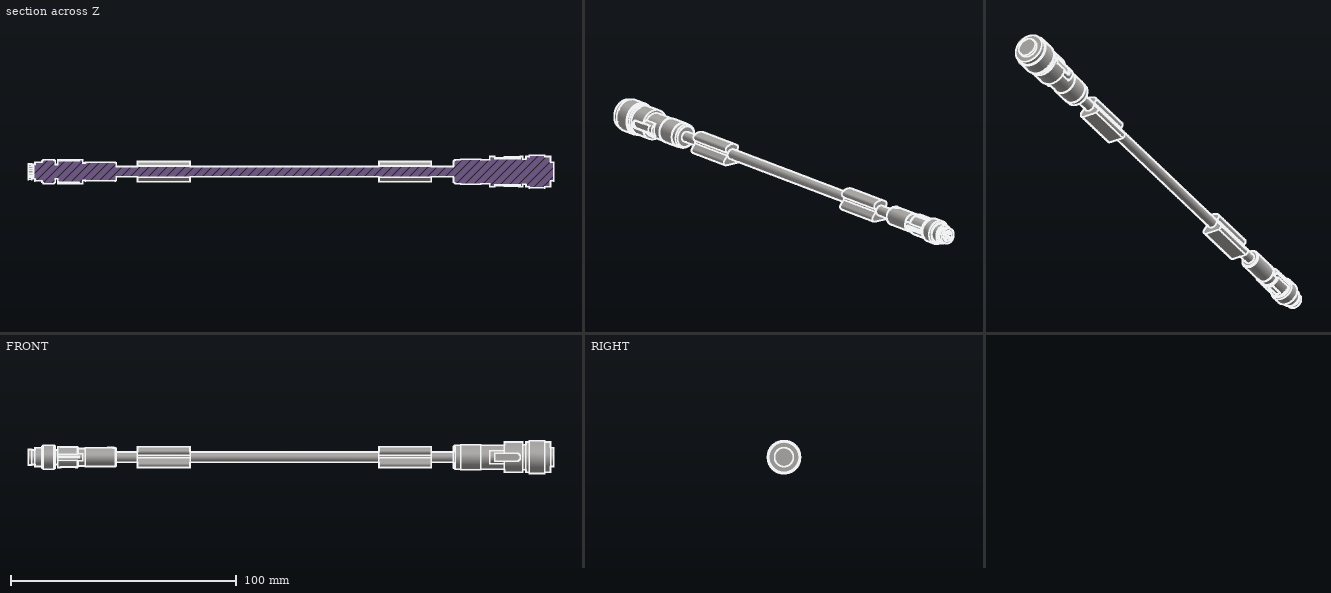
import cadquery as cq


OVERLAP = 1.2

cable_radius = 2.3

plug_steps = [
    (0.0, 1.6, 3.5),
    (1.6, 3.0, 3.3),
    (3.0, 6.0, 4.2),
    (12.0, 13.0, 3.3),
    (22.0, 25.4, 4.0),
]
nose_bore_radius = 2.3
nose_bore_depth = 2.3
pin_radius = 0.5
pin_offset = 1.2

ring_start, ring_end = 6.0, 12.0
ring_radius = 5.4
ring_chamfer = 0.7

latch_start, latch_end = 13.0, 22.0
latch_radius = 4.7
latch_chamfer = 0.5
side_rail_end = 24.2
side_rail_reach = 5.4
side_rail_radius = 1.51
rail_slot_width = 0.7
rail_slot_depth = 0.5
rail_slot_end = 22.5
top_pocket_start, top_pocket_end = 14.5, 21.2
top_pocket_width = 2.0
top_pocket_floor = 4.2

plug_grip_start, plug_grip_end = 25.4, 39.0
plug_grip_radius = 4.2
plug_grip_chamfer = 0.5
arrow_tip_x, arrow_base_x = 35.1, 38.0
arrow_width = 2.3
arrow_top = 4.5

clip_length = 23.3
clip_starts = (48.5, 155.2)
clip_height = 4.7
cap_half_width = 4.0
cap_lower_z = 2.5
waist_half_width = 2.5
waist_upper_z = 1.0
waist_lower_z = -0.2
foot_half_width = 5.1
foot_upper_z = -3.3
foot_bottom_half_width = 3.5
clip_edge_radius = 1.5

nut_diameter = 14.7
socket_steps = [
    (191.5, 200.4, 5.5),
    (200.4, 210.8, 5.4),
    (210.8, 219.0, 6.7),
    (219.0, 220.4, 5.5),
    (220.4, 221.8, 6.7),
    (221.8, 228.7, nut_diameter / 2),
    (228.7, 231.3, 6.7),
    (231.3, 232.7, 4.2),
]
socket_start = 188.3
socket_end_ring = 191.5
socket_end_radius = 5.4
socket_end_chamfer = 0.7
wing_start, wing_end = 204.3, 219.0
wing_radius = 3.0
wing_reach = 6.7
window_start, window_end = 206.6, 217.8
window_width = 3.5
window_floor = 5.8
window_chamfer = 1.0


def rod(start, end, radius, y=0.0, z=0.0):
    """Cylinder parallel to X between two x positions."""
    return cq.Workplane("YZ", origin=(start, y, z)).circle(radius).extrude(end - start)


def block(x_range, y_range, z_range):
    """Axis-aligned box given by its lower and upper bound on each axis."""
    lows, highs = zip(x_range, y_range, z_range)
    size = [high - low for low, high in zip(lows, highs)]
    return cq.Workplane("XY").box(*size, centered=False).translate(lows)


def stack(steps):
    """Turned body made of coaxial cylinders."""
    body = rod(*steps[0])
    for step in steps[1:]:
        body = body.union(rod(*step))
    return body


def both_sides(shape):
    """Shape together with its mirror image across the XZ plane."""
    return shape.union(shape.mirror("XZ"))


def latch_section():
    """Round section with a slotted round rail on each side and flat pockets top and bottom."""
    body = rod(latch_start, latch_end, latch_radius).faces(">X").chamfer(latch_chamfer)

    rail = rod(latch_start, side_rail_end, side_rail_radius, y=side_rail_reach - side_rail_radius)
    body = body.union(both_sides(rail))

    half_slot = rail_slot_width / 2
    slot = block(
        (latch_start, rail_slot_end),
        (side_rail_reach - rail_slot_depth, side_rail_reach + OVERLAP),
        (-half_slot, half_slot),
    )
    body = body.cut(both_sides(slot))

    half_pocket = top_pocket_width / 2
    pocket = block(
        (top_pocket_start, top_pocket_end),
        (-half_pocket, half_pocket),
        (top_pocket_floor, latch_radius + OVERLAP),
    )
    return body.cut(pocket).cut(pocket.mirror("XY"))


def plug():
    body = stack(plug_steps).union(latch_section())
    ring = rod(ring_start, ring_end, ring_radius).faces("<X or >X").chamfer(ring_chamfer)
    grip = rod(plug_grip_start, plug_grip_end, plug_grip_radius)
    grip = grip.faces(">X").chamfer(plug_grip_chamfer)
    arrow = (
        cq.Workplane("XY")
        .polyline([(arrow_tip_x, 0), (arrow_base_x, -arrow_width / 2), (arrow_base_x, arrow_width / 2)])
        .close()
        .extrude(arrow_top)
    )
    body = body.union(ring).union(grip).union(arrow)

    body = body.cut(rod(0, nose_bore_depth, nose_bore_radius))
    for y in (-pin_offset, pin_offset):
        for z in (-pin_offset, pin_offset):
            body = body.union(rod(0, nose_bore_depth + OVERLAP, pin_radius, y, z))
    return body


def marker_clip(start):
    clip = (
        cq.Workplane("YZ", origin=(start, 0, 0))
        .moveTo(-cap_half_width, cap_lower_z)
        .threePointArc((0, clip_height), (cap_half_width, cap_lower_z))
        .lineTo(waist_half_width, waist_upper_z)
        .lineTo(waist_half_width, waist_lower_z)
        .lineTo(foot_half_width, foot_upper_z)
        .lineTo(foot_bottom_half_width, -clip_height)
        .lineTo(-foot_bottom_half_width, -clip_height)
        .lineTo(-foot_half_width, foot_upper_z)
        .lineTo(-waist_half_width, waist_lower_z)
        .lineTo(-waist_half_width, waist_upper_z)
        .close()
        .extrude(clip_length)
    )
    middle = start + clip_length / 2
    rounded_corners = [
        (cap_half_width, cap_lower_z),
        (foot_half_width, foot_upper_z),
    ]
    for y, z in rounded_corners:
        for side in (-1, 1):
            corner = cq.selectors.NearestToPointSelector((middle, side * y, z))
            clip = clip.edges("|X").edges(corner).fillet(clip_edge_radius)
    return clip


def socket():
    end_ring = rod(socket_start, socket_end_ring, socket_end_radius)
    end_ring = end_ring.faces("<X").chamfer(socket_end_chamfer)
    body = stack(socket_steps).union(end_ring)

    wing = rod(wing_start, wing_end, wing_radius, y=wing_reach - wing_radius)
    body = body.union(both_sides(wing))

    half_window = window_width / 2
    window = block(
        (window_start, window_end),
        (window_floor, wing_reach + OVERLAP),
        (-half_window, half_window),
    )
    window = window.edges("|Y and >X").chamfer(window_chamfer)
    return body.cut(both_sides(window))


cable = rod(plug_grip_end - OVERLAP, socket_start + OVERLAP, cable_radius)

result = plug().union(cable).union(socket())
for clip_start in clip_starts:
    result = result.union(marker_clip(clip_start))